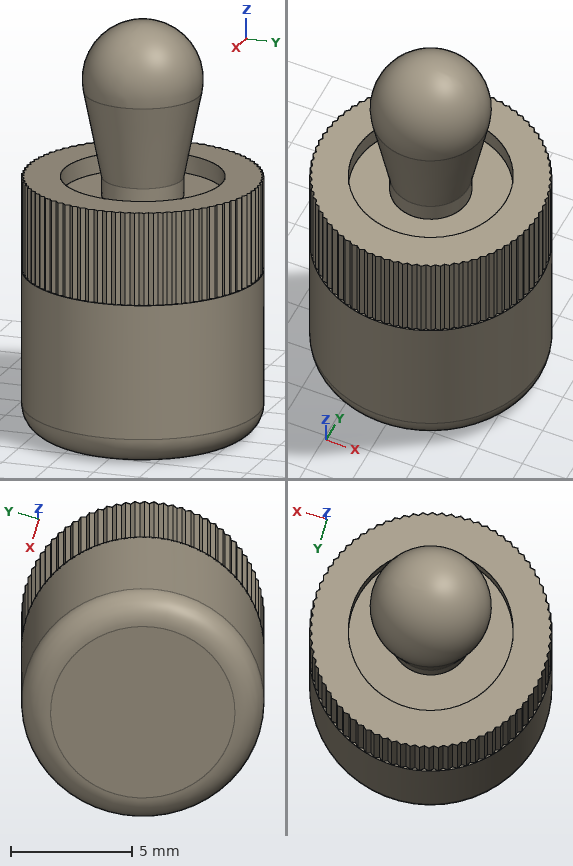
import cadquery as cq
import math

housing_radius = 5.0
housing_height = 11.0
bottom_fillet = 1.2
knurl_length = 4.0
knurl_base_z = housing_height - knurl_length
tooth_count = 80
tooth_depth = 0.1
recess_radius = 3.4
recess_depth = 0.8
recess_floor_z = housing_height - recess_depth

neck_radius = 1.7
neck_top_z = housing_height
ball_radius = 2.5
pin_top_z = 17.7
ball_center_z = pin_top_z - ball_radius
cone_drop = 0.5
cone_top_z = ball_center_z - cone_drop
cone_top_radius = math.sqrt(ball_radius**2 - cone_drop**2)


def polar_point(radius, angle):
    return (radius * math.cos(angle), radius * math.sin(angle))


def make_knurled_collar():
    """Collar with straight V teeth; a valley lies on each of the X and Y axes."""
    pitch_angle = 2 * math.pi / tooth_count
    outline = []
    for tooth in range(tooth_count):
        valley_angle = tooth * pitch_angle
        outline.append(polar_point(housing_radius - tooth_depth, valley_angle))
        outline.append(polar_point(housing_radius, valley_angle + pitch_angle / 2))
    return cq.Workplane("XY").workplane(offset=knurl_base_z).polyline(outline).close().extrude(knurl_length)


def make_housing():
    """Smooth cup with a rounded bottom edge, the knurled collar and the top recess."""
    cup = cq.Workplane("XY").circle(housing_radius).extrude(knurl_base_z)
    cup = cup.faces("<Z").edges().fillet(bottom_fillet)
    recess = cq.Workplane("XY").workplane(offset=recess_floor_z).circle(recess_radius).extrude(recess_depth)
    return cup.union(make_knurled_collar()).cut(recess)


def make_pin():
    """Turned pin standing on the recess floor."""
    profile = (
        cq.Workplane("XZ")
        .moveTo(0, recess_floor_z)
        .lineTo(neck_radius, recess_floor_z)
        .lineTo(neck_radius, neck_top_z)
        .lineTo(cone_top_radius, cone_top_z)
        .threePointArc((ball_radius, ball_center_z), (0, pin_top_z))
        .close()
    )
    return profile.revolve(360, (0, 0, 0), (0, 1, 0))


housing = make_housing()
pin = make_pin()

result = cq.Compound.makeCompound([housing.val(), pin.val()])